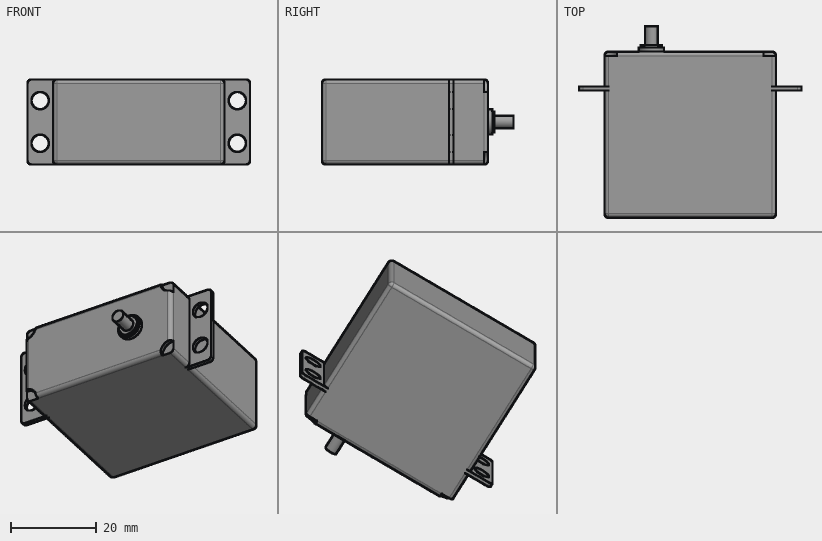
import cadquery as cq

case_width = 40.24
case_height = 20.0
case_length = 39.0
edge_radius = 1.0
notch_radius = 3.0
notch_depth = 1.0

ear_reach = 6.0
ear_thickness = 1.0
ear_start_y = 29.87
ear_corner_radius = 1.0
ear_hole_diameter = 4.0
ear_hole_spacing = 10.0
ear_span = case_width + 2 * ear_reach
ear_hole_x_spacing = case_width + ear_reach

shaft_inset = 11.0
shaft_x = shaft_inset - case_width / 2
shaft_diameter = 3.0
shaft_tip_y = 45.0
collar_diameter = 6.0
collar_end_y = 40.0
step_diameter = 5.0
step_end_y = 40.5


def slab(width, start_y, end_y):
    """Box of the case's height, centred in X and Z, from start_y to end_y."""
    length = end_y - start_y
    middle_y = (start_y + end_y) / 2
    return cq.Workplane("XY").box(width, length, case_height).translate((0, middle_y, 0))


def corner_cylinders(x_spacing, z_spacing, diameter, start_y, end_y):
    """Four cylinders along Y, centred on the corners of a rectangle about the Y axis."""
    return (
        cq.Workplane("XZ", origin=(0, start_y, 0))
        .rect(x_spacing, z_spacing, forConstruction=True)
        .vertices()
        .circle(diameter / 2)
        .extrude(start_y - end_y)
    )


def make_case():
    """Rounded box with the corners of its +Y end notched."""
    box = slab(case_width, 0, case_length).edges().fillet(edge_radius)
    notches = corner_cylinders(
        case_width, case_height, 2 * notch_radius, case_length - notch_depth, case_length
    )
    return box.cut(notches)


def make_ears():
    """One plate through the case that forms both ears, with two screw holes in each."""
    ear_end_y = ear_start_y + ear_thickness
    plate = slab(ear_span, ear_start_y, ear_end_y).edges("|Y").fillet(ear_corner_radius)
    holes = corner_cylinders(
        ear_hole_x_spacing, ear_hole_spacing, ear_hole_diameter, ear_start_y, ear_end_y
    )
    return plate.cut(holes)


def shaft_stage(diameter, start_y, end_y):
    """Cylinder on the shaft axis, from start_y to end_y."""
    workplane = cq.Workplane("XZ", origin=(shaft_x, start_y, 0))
    return workplane.circle(diameter / 2).extrude(start_y - end_y)


def make_shaft():
    """Collar, smaller step and shaft, stacked outward from the case."""
    collar = shaft_stage(collar_diameter, case_length, collar_end_y)
    step = shaft_stage(step_diameter, collar_end_y, step_end_y)
    shaft = shaft_stage(shaft_diameter, step_end_y, shaft_tip_y)
    return collar.union(step).union(shaft)


result = make_case().union(make_ears()).union(make_shaft())